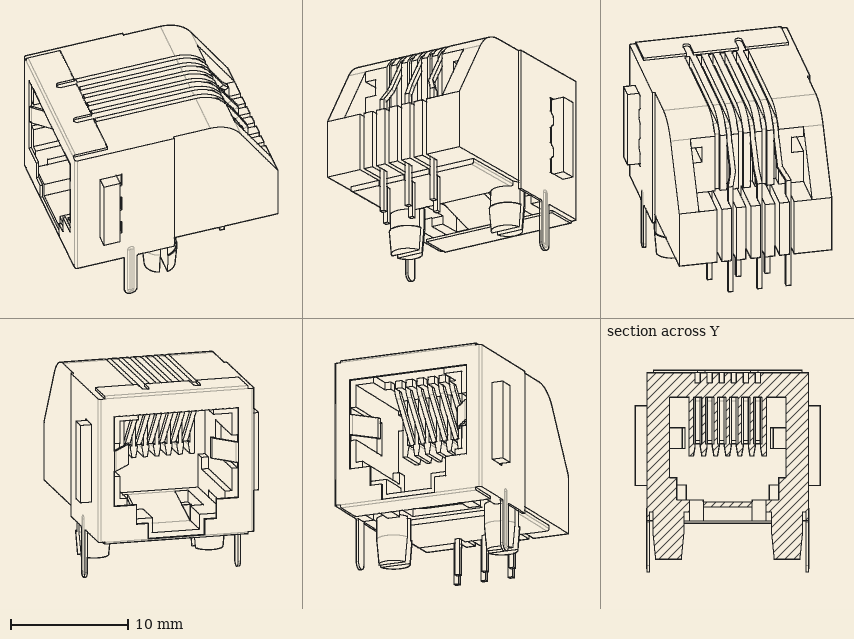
import cadquery as cq
import math


SHEET = 0.22
OVERALL_WIDTH = 15.75
SHELL_HALF_WIDTH = 6.88
SHELL_LENGTH = 8.9
HEIGHT = 12.63
LENGTH = 18.3
EDGE_ROUND = 0.2
HOUSING_HALF_WIDTH = SHELL_HALF_WIDTH - SHEET
HOUSING_BOTTOM = 0.75
FRONT_FLOOR_END = 5.36
REAR_TOP = 5.82
REAR_SLOPE = math.radians(57.7)
REAR_RADIUS = 3.25

FLANGE_HALF_WIDTH = 6.33
FLANGE_LENGTH = 3.1
FLANGE_SLOT_X = 2.27
FLANGE_SLOT_WIDTH = 0.62
FLANGE_SLOT_FRONT = 1.39

STRIP_BOTTOM = 0.27
STRIP_HALF_WIDTH = 6.19
STRIP_END = 15.32

SHELL_OPENING = [(5.49, 3.07, 11.0), (3.53, 1.37, 3.07), (2.49, 0, 1.37)]

CAVITY_BACK = 8.78
CAVITY_TOP = 10.52
CAVITY_HALF_WIDTH = 4.95
SHELF_Z = 3.68
THROAT_HALF_WIDTH = 4.34
LEDGE_Z = 1.8
STOP_TOP = 4.7
STOP_LENGTH = 1.1

POCKET_FLOOR = 0.48
POCKET_HALF_WIDTH = 2.09
POCKET_WIDE_HALF = 3.24
POCKET_STEP_Y = 3.18
RAMP_END = 8.05

SIDE_POCKET_END = 5.49
SPRING_POCKET_X = 5.44
SPRING_POCKET_BOTTOM = 5.65
SPRING_POCKET_TOP = 8.56
VENT_FRONT = 1.28
VENT_TOP = 2.38
VENT_OUTER_X = 5.67

WINDOW_INNER_X = 3.92
WINDOW_BOTTOM = 8.75
WINDOW_TOP = 10.2

RECESS_FRONT = 14.95

CONTACTS = 6
CONTACT_PITCH = 1.02
PIN_PITCH = 1.26
LEAD_WIDTH = 0.42
LEAD_THICKNESS = 0.4
LEAD_TOP = 11.79
LEAD_FRONT = 3.28
LEAD_BEND = 0.68
LEAD_MID_Z = LEAD_TOP - LEAD_THICKNESS / 2
LEAD_MID_BEND = LEAD_BEND - LEAD_THICKNESS / 2
PIN_BOTTOM = -2.91
PIN_ROW_NEAR = 14.38
PIN_ROW_FAR = 16.91
FAR_BEND_Y = 13.87
JOG_LENGTH = 1.2
CONTACT_SLOPE = math.radians(50)
CONTACT_BEND = 1.83
CONTACT_TIP_Z = 6.7
COMB_FRONT = 6.22
COMB_BOTTOM = 5.53
COMB_HALF_WIDTH = 3.31
COMB_SLOT_WIDTH = 0.7
COMB_SLOT_BOTTOM = 6.55
COMB_FLARE_TOP = 6.33
CEILING_RECESS_TOP = 11.16
CEILING_RECESS_END = 2.56

BLOCK_FRONT = 2.23
BLOCK_BACK = 3.7
BLOCK_BOTTOM = 3.0
BLOCK_TOP = 9.83
CUTOUT_BACK = 4.19
TOOTH_BASE = 0.71
TOOTH_FLARE = 0.4
TOOTH_PITCH = 2.87

SPRING_BOTTOM = 6.15
SPRING_TOP = 7.95
SPRING_SETBACK = 0.05
SPRING_ROOT = (5.29, 0.18)
SPRING_BEND = (3.7, 2.0)
SPRING_TIP = (3.62, 2.29)

POST_Y = 5.0
POST_WIDTH = 1.13
POST_BOTTOM = -4.35
POST_ROOT_RADIUS = 0.13
RIDGE_WIDTH = 0.59
RIDGE_TOP = 1.12
RIDGE_BOTTOM = -4.12
RIDGE_HEIGHT = 0.05
RIDGE_TAPER = 75

PEG_X = 5.05
PEG_Y = 8.1
PEG_BOTTOM = -3.28
PEG_GAP = 0.65
PEG_RADIUS = 1.46
PEG_FRONT_NECK = -1.08
PEG_FRONT_TIP_RADIUS = 1.26
PEG_REAR_NECK = -1.25
PEG_REAR_BARB_RADIUS = 1.57
PEG_REAR_TIP_RADIUS = 1.4


def box(x0, x1, y0, y1, z0, z1):
    return cq.Workplane("XY").box(x1 - x0, y1 - y0, z1 - z0, centered=False).translate((x0, y0, z0))


def centred_box(half_width, y0, y1, z0, z1):
    return box(-half_width, half_width, y0, y1, z0, z1)


def both_sides(shape):
    return shape.union(shape.mirror("YZ"))


def side_prism(points, x0, x1):
    """Outline in (y, z), extruded from x0 to x1."""
    return cq.Workplane("YZ").polyline(points).close().extrude(x1 - x0).translate((x0, 0, 0))


def evenly_spaced(pitch):
    return [(i - (CONTACTS - 1) / 2) * pitch for i in range(CONTACTS)]


contact_xs = evenly_spaced(CONTACT_PITCH)
pin_xs = evenly_spaced(PIN_PITCH)


def make_housing():
    ridge_y = LENGTH - (HEIGHT - REAR_TOP) / math.tan(REAR_SLOPE)
    outline = [
        (SHEET, 0),
        (FRONT_FLOOR_END, 0),
        (FRONT_FLOOR_END, HOUSING_BOTTOM),
        (LENGTH, HOUSING_BOTTOM),
        (LENGTH, REAR_TOP),
        (ridge_y, HEIGHT),
        (SHEET, HEIGHT),
    ]
    body = side_prism(outline, -HOUSING_HALF_WIDTH, HOUSING_HALF_WIDTH)
    ridge = cq.selectors.NearestToPointSelector((0, ridge_y, HEIGHT))
    body = body.edges(ridge).fillet(REAR_RADIUS)
    strip = centred_box(STRIP_HALF_WIDTH, SHELL_LENGTH, STRIP_END, STRIP_BOTTOM, HOUSING_BOTTOM)
    strip = strip.edges("<Z and |Y").fillet(EDGE_ROUND)
    return body.union(strip)


def make_cavity():
    cavity = centred_box(CAVITY_HALF_WIDTH, SHEET, CAVITY_BACK, SHELF_Z, CAVITY_TOP)
    stop_front = CAVITY_BACK - STOP_LENGTH
    stop = box(THROAT_HALF_WIDTH, CAVITY_HALF_WIDTH, stop_front, CAVITY_BACK, SHELF_Z, STOP_TOP)
    cavity = cavity.cut(both_sides(stop))
    throat = centred_box(THROAT_HALF_WIDTH, SHEET, CAVITY_BACK, LEDGE_Z, SHELF_Z)
    ceiling = centred_box(COMB_HALF_WIDTH, SHEET, CEILING_RECESS_END, CAVITY_TOP, CEILING_RECESS_TOP)
    spring_pocket = box(
        CAVITY_HALF_WIDTH, SPRING_POCKET_X, SHEET, SIDE_POCKET_END, SPRING_POCKET_BOTTOM, SPRING_POCKET_TOP
    )
    vent = box(THROAT_HALF_WIDTH, VENT_OUTER_X, VENT_FRONT, SIDE_POCKET_END, 0, VENT_TOP)
    window = box(WINDOW_INNER_X, CAVITY_HALF_WIDTH, CAVITY_BACK, LENGTH, WINDOW_BOTTOM, WINDOW_TOP)
    cavity = cavity.union(throat).union(ceiling)
    for pocket in (spring_pocket, vent, window):
        cavity = cavity.union(both_sides(pocket))
    return cavity


def make_latch_pocket():
    front = centred_box(POCKET_HALF_WIDTH, SHEET, POCKET_STEP_Y, POCKET_FLOOR, LEDGE_Z)
    rear = centred_box(POCKET_WIDE_HALF, POCKET_STEP_Y, RAMP_END, 0, LEDGE_Z)
    return front.union(rear)


def make_ramp():
    """Sloping tongue from the pocket floor up to the ledge."""
    ramp_outline = [
        (POCKET_STEP_Y, 0),
        (POCKET_STEP_Y, POCKET_FLOOR),
        (RAMP_END, LEDGE_Z),
        (RAMP_END, LEDGE_Z - POCKET_FLOOR),
    ]
    return side_prism(ramp_outline, -POCKET_HALF_WIDTH, POCKET_HALF_WIDTH)


def make_comb():
    """Plate in front of the cavity's back wall, with a slot flaring downward for each contact."""
    comb = centred_box(COMB_HALF_WIDTH, COMB_FRONT, CAVITY_BACK, COMB_BOTTOM, CAVITY_TOP)
    narrow = LEAD_WIDTH / 2
    wide = COMB_SLOT_WIDTH / 2
    slot_side = [
        (wide, COMB_BOTTOM),
        (narrow, COMB_FLARE_TOP),
        (narrow, COMB_SLOT_BOTTOM),
        (wide, COMB_SLOT_BOTTOM),
        (wide, CAVITY_TOP),
    ]
    for x in contact_xs:
        right = [(x + dx, z) for dx, z in slot_side]
        left = [(x - dx, z) for dx, z in reversed(slot_side)]
        slot = cq.Workplane("XZ").polyline(right + left).close().extrude(-CAVITY_BACK)
        comb = comb.cut(slot)
    return comb


def is_far(index):
    """Leads alternate between the far and the near pin row."""
    return index % 2 == 0


def make_lead_slots():
    """Grooves along the top, their front drops and the rear slots for the pins."""
    half = LEAD_WIDTH / 2
    half_thick = LEAD_THICKNESS / 2
    slots = centred_box(CAVITY_HALF_WIDTH, RECESS_FRONT, LENGTH, REAR_TOP, HEIGHT)
    for i, (x, pin_x) in enumerate(zip(contact_xs, pin_xs)):
        groove = box(x - half, x + half, LEAD_FRONT, RECESS_FRONT, LEAD_TOP - LEAD_THICKNESS, HEIGHT)
        drop_back = LEAD_FRONT + LEAD_THICKNESS
        drop = box(x - half, x + half, CEILING_RECESS_END, drop_back, CAVITY_TOP, CEILING_RECESS_TOP)
        row = PIN_ROW_FAR if is_far(i) else PIN_ROW_NEAR
        pin_slot = box(pin_x - half, pin_x + half, row - half_thick, LENGTH, 0, REAR_TOP)
        riser_front = FAR_BEND_Y if is_far(i) else row - half_thick
        riser = box(x - half, x + half, riser_front, RECESS_FRONT, REAR_TOP, HEIGHT)
        for slot in (groove, drop, pin_slot, riser):
            slots = slots.union(slot)
    return slots


def far_corner_z():
    """Height where the sloping run of a far lead meets its vertical pin."""
    slope_y = FAR_BEND_Y + LEAD_MID_BEND * math.sin(REAR_SLOPE)
    slope_z = LEAD_MID_Z - LEAD_MID_BEND * (1 - math.cos(REAR_SLOPE))
    return slope_z - (PIN_ROW_FAR - slope_y) * math.tan(REAR_SLOPE)


def lead_band(far):
    """Bent strip, wider than the leads, that follows the side outline of a lead."""
    bend = LEAD_MID_BEND
    if far:
        start = (PIN_ROW_FAR, PIN_BOTTOM)
        rear_bend_y = FAR_BEND_Y
        turn = REAR_SLOPE
        path = cq.Workplane("YZ").moveTo(*start).lineTo(PIN_ROW_FAR, far_corner_z())
    else:
        start = (PIN_ROW_NEAR, REAR_TOP)
        rear_bend_y = PIN_ROW_NEAR - bend
        turn = math.pi / 2
        path = cq.Workplane("YZ").moveTo(*start)
    path = path.lineTo(rear_bend_y + bend * math.sin(turn), LEAD_MID_Z - bend * (1 - math.cos(turn)))
    path = path.tangentArcPoint((rear_bend_y, LEAD_MID_Z), relative=False)

    front_y = LEAD_FRONT + LEAD_THICKNESS / 2
    contact_bend = CONTACT_BEND - LEAD_THICKNESS / 2
    turn_y = front_y + contact_bend * (1 - math.sin(CONTACT_SLOPE))
    turn_z = LEAD_MID_Z - bend - contact_bend * math.cos(CONTACT_SLOPE)
    tip_y = turn_y + (turn_z - CONTACT_TIP_Z) / math.tan(CONTACT_SLOPE)
    path = path.lineTo(front_y + bend, LEAD_MID_Z)
    path = path.tangentArcPoint((front_y, LEAD_MID_Z - bend), relative=False)
    path = path.tangentArcPoint((turn_y, turn_z), relative=False)
    path = path.lineTo(tip_y, CONTACT_TIP_Z)

    section = cq.Workplane("XY", origin=(0, start[0], start[1]))
    section = section.rect(2 * HOUSING_HALF_WIDTH, LEAD_THICKNESS)
    return section.sweep(path, transition="right")


def far_lead_outline(x, pin_x):
    """Prism square to the rear slope that steps sideways from the contact to its pin."""
    half = LEAD_WIDTH / 2
    corner = (0, PIN_ROW_FAR, far_corner_z())
    normal = (0, math.sin(REAR_SLOPE), math.cos(REAR_SLOPE))
    slope_plane = cq.Plane(origin=corner, xDir=(1, 0, 0), normal=normal)
    centre = [(x, -LENGTH), (x, -JOG_LENGTH), (pin_x, 0), (pin_x, LENGTH)]
    left = [(cx - half, v) for cx, v in centre]
    right = [(cx + half, v) for cx, v in reversed(centre)]
    return cq.Workplane(slope_plane).polyline(left + right).close().extrude(LENGTH, both=True)


def make_leads():
    half = LEAD_WIDTH / 2
    half_thick = LEAD_THICKNESS / 2
    far_band = lead_band(far=True)
    near_band = lead_band(far=False)
    leads = cq.Workplane("XY")
    for i, (x, pin_x) in enumerate(zip(contact_xs, pin_xs)):
        if is_far(i):
            leads = leads.union(far_band.intersect(far_lead_outline(x, pin_x)))
        else:
            outline = box(x - half, x + half, 0, LENGTH, REAR_TOP, HEIGHT)
            pin_front = PIN_ROW_NEAR - half_thick
            pin_back = PIN_ROW_NEAR + half_thick
            pin = box(pin_x - half, pin_x + half, pin_front, pin_back, PIN_BOTTOM, REAR_TOP)
            leads = leads.union(near_band.intersect(outline)).union(pin)
    return leads


def make_cutouts():
    """Dovetail-toothed openings in the shell's side, behind the side block."""
    middle = (BLOCK_BOTTOM + BLOCK_TOP) / 2
    tooth_zs = [middle - TOOTH_PITCH / 2, middle + TOOTH_PITCH / 2]
    cutout = box(HOUSING_HALF_WIDTH, SHELL_HALF_WIDTH, BLOCK_BACK, CUTOUT_BACK, BLOCK_BOTTOM, BLOCK_TOP)
    half = TOOTH_BASE / 2
    for z in tooth_zs:
        tooth = [
            (BLOCK_BACK, z - half),
            (CUTOUT_BACK, z - half - TOOTH_FLARE),
            (CUTOUT_BACK, z + half + TOOTH_FLARE),
            (BLOCK_BACK, z + half),
        ]
        cutout = cutout.cut(side_prism(tooth, HOUSING_HALF_WIDTH, SHELL_HALF_WIDTH))
    return both_sides(cutout)


def make_post():
    half = POST_WIDTH / 2
    root = POST_ROOT_RADIUS
    blade = (
        cq.Workplane("YZ")
        .moveTo(POST_Y - half - root, 0)
        .radiusArc((POST_Y - half, -root), root)
        .lineTo(POST_Y - half, POST_BOTTOM + half)
        .threePointArc((POST_Y, POST_BOTTOM), (POST_Y + half, POST_BOTTOM + half))
        .lineTo(POST_Y + half, -root)
        .radiusArc((POST_Y + half + root, 0), root)
        .close()
        .extrude(SHEET)
        .translate((HOUSING_HALF_WIDTH, 0, 0))
    )
    ridge = (
        cq.Workplane("YZ", origin=(SHELL_HALF_WIDTH, POST_Y, (RIDGE_TOP + RIDGE_BOTTOM) / 2))
        .slot2D(RIDGE_TOP - RIDGE_BOTTOM, RIDGE_WIDTH, 90)
        .extrude(RIDGE_HEIGHT, taper=RIDGE_TAPER)
    )
    return both_sides(blade.union(ridge))


def make_shell():
    shell = centred_box(SHELL_HALF_WIDTH, 0, SHELL_LENGTH, 0, HEIGHT).edges("|Z and <Y").fillet(EDGE_ROUND)
    shell = shell.cut(centred_box(HOUSING_HALF_WIDTH, SHEET, SHELL_LENGTH, 0, HEIGHT))
    for half_width, bottom, top in SHELL_OPENING:
        shell = shell.cut(centred_box(half_width, 0, SHEET, bottom, top))
    return shell.cut(make_cutouts())


def make_flanges():
    top = centred_box(FLANGE_HALF_WIDTH, 0, FLANGE_LENGTH, HEIGHT, HEIGHT + SHEET)
    top = top.edges(">Z and <Y").fillet(EDGE_ROUND)
    slot_radius = FLANGE_SLOT_WIDTH / 2
    slot_end = FLANGE_SLOT_FRONT + slot_radius
    for x in (-FLANGE_SLOT_X, FLANGE_SLOT_X):
        slot = box(x - slot_radius, x + slot_radius, slot_end, FLANGE_LENGTH, HEIGHT, HEIGHT + SHEET)
        rounded = cq.Workplane("XY", origin=(x, slot_end, HEIGHT)).circle(slot_radius).extrude(SHEET)
        top = top.cut(slot).cut(rounded)
    bottom = centred_box(FLANGE_HALF_WIDTH, 0, FLANGE_LENGTH, -SHEET, 0)
    bottom = bottom.edges("<Z and <Y").fillet(EDGE_ROUND)
    return top.union(bottom)


def make_side_blocks():
    block = box(
        HOUSING_HALF_WIDTH, OVERALL_WIDTH / 2, BLOCK_FRONT, BLOCK_BACK, BLOCK_BOTTOM, BLOCK_TOP
    )
    return both_sides(block)


def make_springs():
    """Sheet tongues that slant inward from the edges of the opening, with a bent tip."""
    edge_x = SHELL_OPENING[0][0]
    inner_face = [(edge_x, SPRING_SETBACK), SPRING_ROOT, SPRING_BEND, SPRING_TIP]
    outer_face = [(x + SHEET, y) for x, y in (SPRING_TIP, SPRING_BEND)]
    outer_face.append((edge_x, SHEET))
    tongue = cq.Workplane("XY").polyline(inner_face + outer_face).close()
    tongue = tongue.extrude(SPRING_TOP - SPRING_BOTTOM).translate((0, 0, SPRING_BOTTOM))
    return both_sides(tongue)


def peg_half(neck_bottom, barb_radius, tip_radius, y0, y1):
    """Part of a round, tapered peg that lies between y0 and y1."""
    outline = [(0, HOUSING_BOTTOM), (PEG_RADIUS, HOUSING_BOTTOM), (PEG_RADIUS, neck_bottom)]
    if barb_radius > PEG_RADIUS:
        outline.append((barb_radius, neck_bottom))
    outline += [(tip_radius, PEG_BOTTOM), (0, PEG_BOTTOM)]
    peg = cq.Workplane("XZ").polyline(outline).close().revolve(360, (0, 0), (0, 1))
    reach = 2 * PEG_RADIUS
    half = peg.intersect(box(-reach, reach, y0, y1, PEG_BOTTOM, HOUSING_BOTTOM))
    return half.translate((PEG_X, PEG_Y, 0))


def make_pegs():
    reach = 2 * PEG_RADIUS
    front = peg_half(PEG_FRONT_NECK, PEG_RADIUS, PEG_FRONT_TIP_RADIUS, -reach, -PEG_GAP / 2)
    rear = peg_half(PEG_REAR_NECK, PEG_REAR_BARB_RADIUS, PEG_REAR_TIP_RADIUS, PEG_GAP / 2, reach)
    return both_sides(front.union(rear))


housing = make_housing().cut(make_cavity()).cut(make_latch_pocket())
housing = housing.union(make_ramp()).union(make_comb()).cut(make_lead_slots())

result = housing.union(make_shell()).union(make_flanges()).union(make_post())
for feature in (make_side_blocks(), make_springs(), make_pegs(), make_leads()):
    result = result.union(feature)